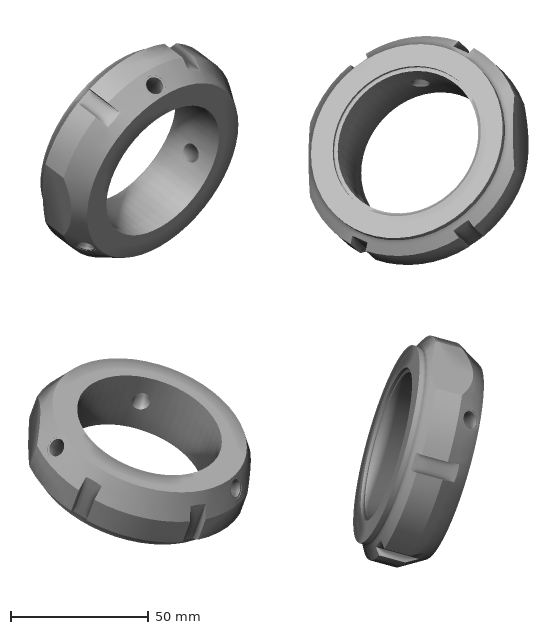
import cadquery as cq
import math

width = 25.0
outer_radius = 42.5
bore_radius = 55.0 / 2
recess_radius = 58.0 / 2
recess_depth = 1.2
collar_radius = 75.0 / 2
collar_width = 2.4
rim_start = 5.4
rim_end = 15.5
cone_angle = math.radians(30)
end_radius = outer_radius - (width - rim_end) * math.tan(cone_angle)

across_flats = 80.0

slot_width = 6.8
slot_floor_radius = 39.5
slot_angles = (60, 120, 240, 300)

hole_diameter = 6.6
hole_mouth_diameter = 8.1
hole_mouth_depth = 0.25
hole_angles = (90, 210, 330)
hole_x = 20.7
hole_radius = outer_radius - (hole_x - rim_end) * math.tan(cone_angle)
hole_length = 21.25
clearance = 4.25


def ring_body():
    """Turned ring with a shallow recess at the collar end of the bore."""
    profile = [
        (recess_depth, bore_radius),
        (recess_depth, recess_radius),
        (0, recess_radius),
        (0, collar_radius),
        (collar_width, collar_radius),
        (rim_start, outer_radius),
        (rim_end, outer_radius),
        (width, end_radius),
        (width, bore_radius),
    ]
    return cq.Workplane("XY").polyline(profile).close().revolve(360, (0, 0, 0), (1, 0, 0))


def flats_envelope():
    """Block that leaves a flat on each Y side of the ring."""
    size = 2 * (outer_radius + clearance)
    return cq.Workplane("XY").box(2 * width, across_flats, size).translate((width / 2, 0, 0))


def spanner_slot():
    """Slot cutter on the +Y side."""
    depth = outer_radius + clearance - slot_floor_radius
    return (
        cq.Workplane("XY")
        .box(width, depth, slot_width)
        .translate((width / 2, slot_floor_radius + depth / 2, 0))
    )


def screw_hole():
    """Hole cutter with a shallow flat mouth on the +Y side, tilted square to the cone."""
    mouth_radius = hole_mouth_diameter / 2
    profile = [
        (0, clearance),
        (mouth_radius, clearance),
        (mouth_radius, -hole_mouth_depth),
        (hole_diameter / 2, -hole_mouth_depth),
        (hole_diameter / 2, -hole_length),
        (0, -hole_length),
    ]
    across = (math.cos(cone_angle), -math.sin(cone_angle), 0)
    mouth_plane = cq.Plane(origin=(hole_x, hole_radius, 0), xDir=across, normal=(0, 0, 1))
    return cq.Workplane(mouth_plane).polyline(profile).close().revolve(360, (0, 0, 0), (0, 1, 0))


def cut_around(body, cutter, angles):
    """Cut at each angle, measured about X from +Y towards +Z."""
    for angle in angles:
        body = body.cut(cutter.rotate((0, 0, 0), (1, 0, 0), angle))
    return body


result = ring_body().intersect(flats_envelope())
result = cut_around(result, spanner_slot(), slot_angles)
result = cut_around(result, screw_hole(), hole_angles)